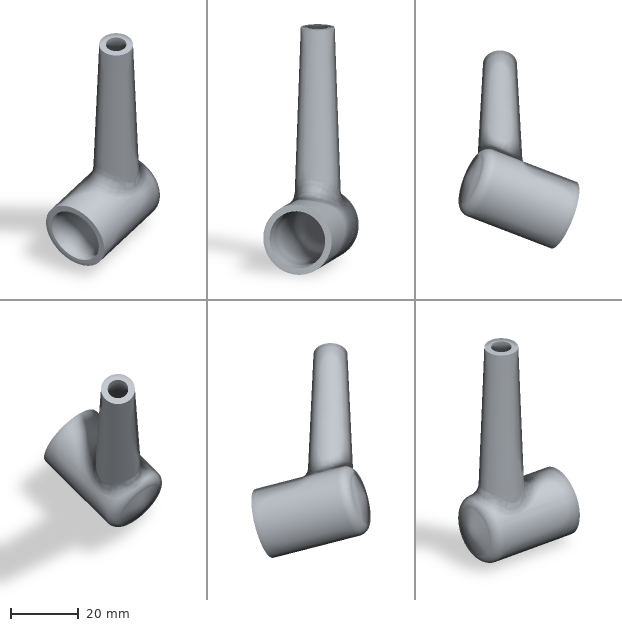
import cadquery as cq
import math

barrel_radius = 10.5
bore_radius = 8.5
bore_corner_radius = 3.0
overall_length = 32.0
open_end_y = -20.95
shoulder_y = 6.55
edge_radius = 3.0
tip_y = open_end_y + overall_length
tip_round_radius = 10.0
back_slope_angle = 13.2
bore_bottom_y = shoulder_y

total_height = 70.5
stem_top_z = total_height - barrel_radius
stem_top_radius = 5.0
stem_reference_z = 14.8
stem_reference_radius = 6.6
stem_hole_radius = 3.0
root_fillet_radius = 5.0


def make_barrel():
    """Closed barrel with a rounded back edge and a shallow conical back ending in a rounded tip."""
    face_radius = barrel_radius - edge_radius
    back_y = shoulder_y + edge_radius
    slope = math.radians(back_slope_angle)
    round_start_radius = tip_round_radius * math.sin(slope)
    round_start_y = tip_y - tip_round_radius * (1 - math.cos(slope))
    profile = (
        cq.Workplane("XY")
        .moveTo(0, open_end_y)
        .lineTo(barrel_radius, open_end_y)
        .lineTo(barrel_radius, shoulder_y)
        .radiusArc((face_radius, back_y), -edge_radius)
        .lineTo(round_start_radius, round_start_y)
        .radiusArc((0, tip_y), -tip_round_radius)
        .close()
    )
    return profile.revolve(360, (0, 0, 0), (0, 1, 0))


def make_stem():
    """Tapered stem starting on the barrel axis."""
    taper = (stem_reference_radius - stem_top_radius) / (stem_top_z - stem_reference_z)
    base_radius = stem_top_radius + taper * stem_top_z
    return cq.Workplane("XY").add(
        cq.Solid.makeCone(base_radius, stem_top_radius, stem_top_z)
    )


def make_bore():
    """Blind bore of the barrel with a rounded bottom corner."""
    return (
        cq.Workplane("XZ", origin=(0, open_end_y, 0))
        .circle(bore_radius)
        .extrude(open_end_y - bore_bottom_y)
        .faces(">Y")
        .edges()
        .fillet(bore_corner_radius)
    )


def make_stem_hole():
    """Straight passage from the stem top into the bore."""
    return cq.Workplane("XY").circle(stem_hole_radius).extrude(stem_top_z)


body = make_barrel().union(make_stem())
root_edges = cq.selectors.BoxSelector(
    (-barrel_radius, -barrel_radius, 0),
    (barrel_radius, barrel_radius, stem_reference_z),
)
root = [edge for edge in body.edges(root_edges).vals() if edge.geomType() not in ("LINE", "CIRCLE")]
body = body.newObject(root).fillet(root_fillet_radius)
result = body.cut(make_bore()).cut(make_stem_hole())